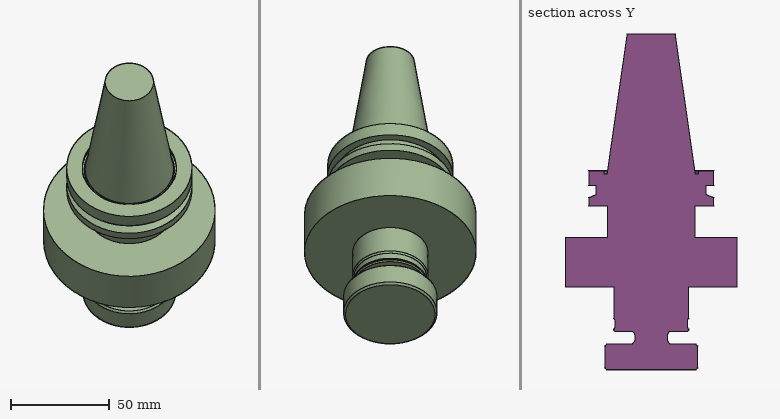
import cadquery as cq
import math

screw_head_diameter = 47.3
neck_diameter = 16.7
neck_lower_diameter = 20.0
neck_upper_diameter = 19.0
pilot_diameter = 38.1
pilot_groove_diameter = 37.0
drive_flange_diameter = 87.0
body_diameter = 44.5
collar_diameter = 63.5
collar_groove_diameter = 56.0
taper_small_diameter = 24.5

screw_head_top = 13.1
neck_straight_bottom = 15.7
neck_straight_top = 17.0
pilot_bottom = 19.4
pilot_groove_bottom = 21.6
pilot_groove_top = 26.0
drive_flange_bottom = 41.9
drive_flange_top = 67.0
collar_bottom = 82.9
collar_groove_bottom = 88.9
collar_groove_top = 93.3
collar_top = 101.0
total_height = 170.2

head_chamfer = 1.0
pilot_chamfer = 0.7
pilot_groove_slope_height = 1.0
collar_slope_height = 1.5
recess_diameter = 47.7
recess_depth = 1.7
root_chamfer = 0.5


def flare_midpoint(neck_radius, end_radius, straight_z, end_z):
    """Middle of the concave arc that leaves the neck vertically and ends at the given radius."""
    width = end_radius - neck_radius
    height = abs(end_z - straight_z)
    arc_radius = (width**2 + height**2) / (2 * width)
    half_angle = math.acos(1 - width / arc_radius) / 2
    direction = math.copysign(1, end_z - straight_z)
    return (
        neck_radius + arc_radius * (1 - math.cos(half_angle)),
        straight_z + direction * arc_radius * math.sin(half_angle),
    )


head_radius = screw_head_diameter / 2
neck_radius = neck_diameter / 2
neck_lower_radius = neck_lower_diameter / 2
neck_upper_radius = neck_upper_diameter / 2
pilot_radius = pilot_diameter / 2
pilot_groove_radius = pilot_groove_diameter / 2
flange_radius = drive_flange_diameter / 2
body_radius = body_diameter / 2
collar_radius = collar_diameter / 2
collar_groove_radius = collar_groove_diameter / 2

taper_small_radius = taper_small_diameter / 2
taper_slope = (body_radius - taper_small_radius) / (total_height - collar_top)
recess_floor = collar_top - recess_depth
taper_root = recess_floor + root_chamfer
taper_root_radius = body_radius + taper_slope * (collar_top - taper_root)

profile = cq.Workplane("XZ").moveTo(0, 0)

profile = (
    profile.lineTo(head_radius - head_chamfer, 0)
    .lineTo(head_radius, head_chamfer)
    .lineTo(head_radius, screw_head_top - head_chamfer)
    .lineTo(head_radius - head_chamfer, screw_head_top)
)

profile = (
    profile.lineTo(neck_lower_radius, screw_head_top)
    .threePointArc(
        flare_midpoint(neck_radius, neck_lower_radius, neck_straight_bottom, screw_head_top),
        (neck_radius, neck_straight_bottom),
    )
    .lineTo(neck_radius, neck_straight_top)
    .threePointArc(
        flare_midpoint(neck_radius, neck_upper_radius, neck_straight_top, pilot_bottom),
        (neck_upper_radius, pilot_bottom),
    )
)

profile = (
    profile.lineTo(pilot_radius - pilot_chamfer, pilot_bottom)
    .lineTo(pilot_radius, pilot_bottom + pilot_chamfer)
    .lineTo(pilot_radius, pilot_groove_bottom - pilot_groove_slope_height)
    .lineTo(pilot_groove_radius, pilot_groove_bottom)
    .lineTo(pilot_groove_radius, pilot_groove_top - pilot_groove_slope_height)
    .lineTo(pilot_radius, pilot_groove_top)
    .lineTo(pilot_radius, drive_flange_bottom)
)

profile = (
    profile.lineTo(flange_radius, drive_flange_bottom)
    .lineTo(flange_radius, drive_flange_top)
    .lineTo(body_radius, drive_flange_top)
    .lineTo(body_radius, collar_bottom)
)

profile = (
    profile.lineTo(collar_radius, collar_bottom)
    .lineTo(collar_radius, collar_groove_bottom - collar_slope_height)
    .lineTo(collar_groove_radius, collar_groove_bottom)
    .lineTo(collar_groove_radius, collar_groove_top)
    .lineTo(collar_radius, collar_groove_top)
    .lineTo(collar_radius, collar_top)
)

profile = (
    profile.lineTo(recess_diameter / 2, collar_top)
    .lineTo(recess_diameter / 2, recess_floor)
    .lineTo(taper_root_radius + root_chamfer, recess_floor)
    .lineTo(taper_root_radius, taper_root)
    .lineTo(taper_small_radius, total_height)
    .lineTo(0, total_height)
    .close()
)

result = profile.revolve(360, (0, 0, 0), (0, 1, 0))